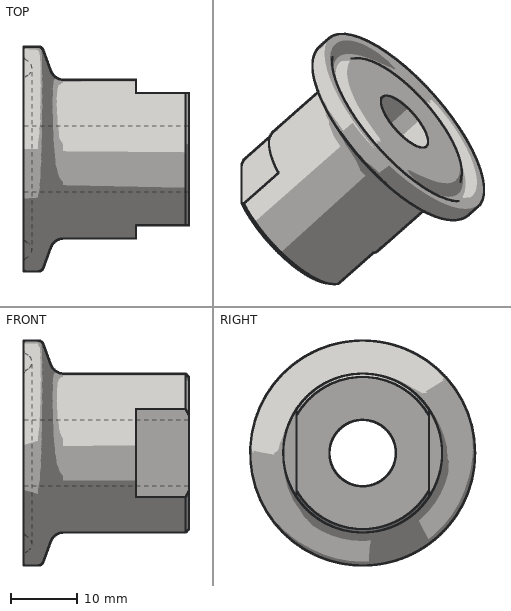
import cadquery as cq
import math

total_length = 25.0
flange_radius = 17.0
body_radius = 12.0
bore_diameter = 10.0
end_chamfer = 0.5

cone_angle = math.radians(20)
cone_foot_x = 4.62
front_edge_round = 0.2
rim_round = 0.85
neck_round = 2.0

groove_middle_radius = 13.75
groove_half_width = 2.0
groove_floor_half_width = 1.05
groove_lip_run = 0.8
groove_wall_angle = math.radians(58)

across_flats = 20.0
flat_length = 8.0


def circle_at(x, radius):
    """Selector for the circular edge of a given radius centred on the X axis."""
    tolerance = 0.005
    return cq.selectors.BoxSelector(
        (x - tolerance, -radius - tolerance, -radius - tolerance),
        (x + tolerance, radius + tolerance, radius + tolerance),
        boundingbox=True,
    )


def turned_body():
    cone_rim_x = cone_foot_x - (flange_radius - body_radius) * math.tan(cone_angle)
    body = (
        cq.Workplane("XY")
        .moveTo(0, 0)
        .lineTo(0, flange_radius)
        .lineTo(cone_rim_x, flange_radius)
        .lineTo(cone_foot_x, body_radius)
        .lineTo(total_length, body_radius)
        .lineTo(total_length, 0)
        .close()
        .revolve(360, (0, 0, 0), (1, 0, 0))
    )
    body = body.edges(circle_at(cone_foot_x, body_radius)).fillet(neck_round)
    body = body.edges(circle_at(cone_rim_x, flange_radius)).fillet(rim_round)
    body = body.edges(circle_at(0, flange_radius)).fillet(front_edge_round)
    return body.faces(">X").edges().chamfer(end_chamfer)


def ring_groove():
    """Round-bottomed groove whose sloping walls blend into rounded lips."""
    lip_radius = groove_lip_run / math.sin(groove_wall_angle)
    floor_radius = groove_floor_half_width / math.sin(groove_wall_angle)
    lip_drop = lip_radius * (1 - math.cos(groove_wall_angle))
    wall_run = groove_half_width - groove_lip_run - groove_floor_half_width
    wall_end_x = lip_drop + wall_run * math.tan(groove_wall_angle)
    depth = wall_end_x + floor_radius * (1 - math.cos(groove_wall_angle))

    half_angle = groove_wall_angle / 2
    lip_mid_x = lip_radius * (1 - math.cos(half_angle))
    lip_mid_offset = groove_half_width - lip_radius * math.sin(half_angle)
    lip_end_offset = groove_half_width - groove_lip_run

    middle = groove_middle_radius
    return (
        cq.Workplane("XY")
        .moveTo(0, middle + groove_half_width)
        .threePointArc((lip_mid_x, middle + lip_mid_offset), (lip_drop, middle + lip_end_offset))
        .lineTo(wall_end_x, middle + groove_floor_half_width)
        .threePointArc((depth, middle), (wall_end_x, middle - groove_floor_half_width))
        .lineTo(lip_drop, middle - lip_end_offset)
        .threePointArc((lip_mid_x, middle - lip_mid_offset), (0, middle - groove_half_width))
        .close()
        .revolve(360, (0, 0, 0), (1, 0, 0))
    )


def bore():
    return cq.Workplane("YZ").circle(bore_diameter / 2).extrude(total_length)


def wrench_flat(side):
    """Material removed outside one flat; side is -1 or 1 along Y."""
    cut_depth = body_radius - across_flats / 2
    return cq.Workplane("XY").box(flat_length, cut_depth, 2 * body_radius).translate(
        (total_length - flat_length / 2, side * (across_flats + cut_depth) / 2, 0)
    )


result = turned_body().cut(ring_groove()).cut(bore())
for side in (-1, 1):
    result = result.cut(wrench_flat(side))